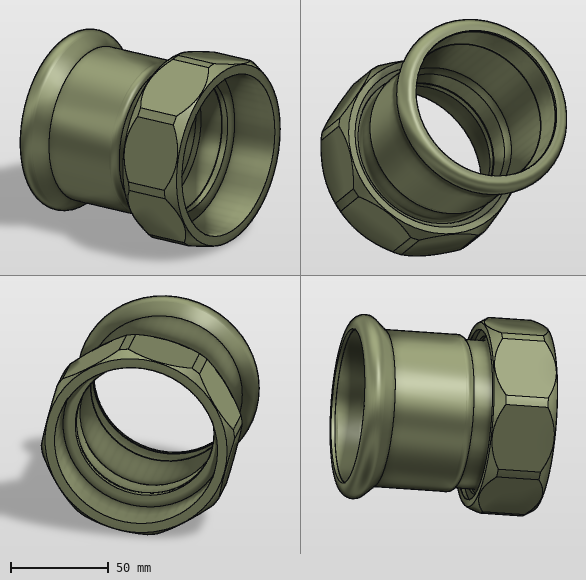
import cadquery as cq
import math

LENGTH = 99.3

WALL = 2.0
BEAD_RADIUS = 5.7
BEAD_CENTRE_R = 41.5
CONE_END = 15.8
SOCKET_R = 80.7 / 2
SOCKET_BORE_R = 76.8 / 2
SOCKET_END = 53.2
NECK_START = 57.6
NECK_R = 76.1 / 2
NECK_BORE_R = 73.0 / 2
TAIL_BORE_R = 72.0 / 2
LIP_R = 39.5
FLARE_START = 68.4
FLARE_RADIUS = 2.3
FLANGE_R = 84.7 / 2
FLANGE_END = 74.4
SEAL_SEAT_R = 78.2 / 2
SEAL_SEAT_END = 16.9

SEAL_FRONT_R = 39.8
SEAL_THROAT_R = 39.4
SEAL_THROAT_X = 3.6
SEAL_BACK_R = 38.1
SEAL_LAND_START = 14.8

NUT_LENGTH = 33.2
NUT_START = LENGTH - NUT_LENGTH
NUT_SIDES = 8
NUT_ACROSS_FLATS = 95.1
NUT_CORNER_R = 50.5
NUT_TILT = 8.5
NUT_FACE_R = 47.3
NUT_CHAMFER = 5.5
NUT_BORE_R = 90.4 / 2
MOUTH_R = 43.7
MOUTH_DEPTH = 1.0

RING_INNER_R = 81.2 / 2
RING_OUTER_R = NUT_BORE_R
RING_WIDTH = 1.5

CONE_REACH = math.hypot(CONE_END - BEAD_RADIUS, SOCKET_R - BEAD_CENTRE_R)
TANGENT_ANGLE = math.atan2(SOCKET_R - BEAD_CENTRE_R, CONE_END - BEAD_RADIUS) + math.acos(
    BEAD_RADIUS / CONE_REACH
)
CAVITY_RADIUS = BEAD_RADIUS - WALL
FLARE_END = FLARE_START + FLARE_RADIUS
RING_START = FLARE_END - RING_WIDTH
ARC_MIDDLE_ANGLE = (TANGENT_ANGLE + math.pi) / 2


def bead_point(radius, angle):
    """Point (x, r) on a circle about the bead centre."""
    return (BEAD_RADIUS + radius * math.cos(angle), BEAD_CENTRE_R + radius * math.sin(angle))


def cavity_cone_x(r):
    """Axial position where the cone inside the bead reaches radius r."""
    rise = (r - BEAD_CENTRE_R) * math.sin(TANGENT_ANGLE)
    return BEAD_RADIUS + (CAVITY_RADIUS - rise) / math.cos(TANGENT_ANGLE)


def turn(profile):
    """Revolve an (x, r) profile about the X axis."""
    return profile.close().revolve(360, (0, 0, 0), (1, 0, 0))


def make_tube():
    """Tube with a seal bead, a press socket, a narrower neck and a flared end flange."""
    step_middle = (
        SOCKET_END + (NECK_START - SOCKET_END) * math.sin(math.pi / 4),
        NECK_R + (SOCKET_R - NECK_R) * math.cos(math.pi / 4),
    )
    flare_middle = (
        FLARE_START + FLARE_RADIUS * math.sin(math.pi / 4),
        NECK_R + FLARE_RADIUS * (1 - math.cos(math.pi / 4)),
    )
    outside = (
        cq.Workplane("XY")
        .moveTo(0, LIP_R)
        .lineTo(0, BEAD_CENTRE_R)
        .threePointArc(bead_point(BEAD_RADIUS, ARC_MIDDLE_ANGLE), bead_point(BEAD_RADIUS, TANGENT_ANGLE))
        .lineTo(CONE_END, SOCKET_R)
        .lineTo(SOCKET_END, SOCKET_R)
        .threePointArc(step_middle, (NECK_START, NECK_R))
        .lineTo(FLARE_START, NECK_R)
        .threePointArc(flare_middle, (FLARE_END, NECK_R + FLARE_RADIUS))
        .lineTo(FLARE_END, FLANGE_R)
        .lineTo(FLANGE_END, FLANGE_R)
    )
    profile = (
        outside.lineTo(FLANGE_END, TAIL_BORE_R)
        .lineTo(FLARE_END, TAIL_BORE_R)
        .lineTo(FLARE_END, NECK_BORE_R)
        .lineTo(NECK_START, NECK_BORE_R)
        .lineTo(SOCKET_END, SOCKET_BORE_R)
        .lineTo(SEAL_SEAT_END, SOCKET_BORE_R)
        .lineTo(SEAL_SEAT_END, SEAL_SEAT_R)
        .lineTo(cavity_cone_x(SEAL_SEAT_R), SEAL_SEAT_R)
        .lineTo(*bead_point(CAVITY_RADIUS, TANGENT_ANGLE))
        .threePointArc(bead_point(CAVITY_RADIUS, ARC_MIDDLE_ANGLE), (WALL, BEAD_CENTRE_R))
        .lineTo(WALL, LIP_R)
    )
    return turn(profile)


def make_seal():
    """Seal that fills the bead cavity, with an inner face that narrows inward."""
    profile = (
        cq.Workplane("XY")
        .moveTo(WALL, SEAL_FRONT_R)
        .lineTo(WALL, BEAD_CENTRE_R)
        .threePointArc(
            bead_point(CAVITY_RADIUS, ARC_MIDDLE_ANGLE), bead_point(CAVITY_RADIUS, TANGENT_ANGLE)
        )
        .lineTo(cavity_cone_x(SEAL_SEAT_R), SEAL_SEAT_R)
        .lineTo(SEAL_SEAT_END, SEAL_SEAT_R)
        .lineTo(SEAL_SEAT_END, SEAL_BACK_R)
        .lineTo(SEAL_LAND_START, SEAL_BACK_R)
        .lineTo(SEAL_THROAT_X, SEAL_THROAT_R)
    )
    return turn(profile)


def make_retaining_ring():
    """Flat ring seated on the shoulder of the nut bore, around the tube flare."""
    return (
        cq.Workplane("YZ", origin=(RING_START, 0, 0))
        .circle(RING_OUTER_R)
        .circle(RING_INNER_R)
        .extrude(RING_WIDTH)
    )


def make_nut():
    """Octagonal nut with rounded corners, chamfered ends and a stepped bore."""
    across_corners = NUT_ACROSS_FLATS / math.cos(math.pi / NUT_SIDES)
    prism = (
        cq.Workplane("YZ", origin=(NUT_START, 0, 0))
        .polygon(NUT_SIDES, across_corners)
        .extrude(NUT_LENGTH)
        .rotate((0, 0, 0), (1, 0, 0), NUT_TILT)
    )
    envelope = turn(
        cq.Workplane("XY")
        .moveTo(NUT_START, 0)
        .lineTo(NUT_START, NUT_FACE_R)
        .lineTo(NUT_START + NUT_CHAMFER, NUT_CORNER_R)
        .lineTo(LENGTH - NUT_CHAMFER, NUT_CORNER_R)
        .lineTo(LENGTH, NUT_FACE_R)
        .lineTo(LENGTH, 0)
    )
    bore = turn(
        cq.Workplane("XY")
        .moveTo(NUT_START, 0)
        .lineTo(NUT_START, MOUTH_R)
        .lineTo(NUT_START + MOUTH_DEPTH, NUT_BORE_R)
        .lineTo(FLARE_END, NUT_BORE_R)
        .lineTo(FLARE_END, FLANGE_R)
        .lineTo(LENGTH, FLANGE_R)
        .lineTo(LENGTH, 0)
    )
    return prism.intersect(envelope).cut(bore)


tube = make_tube()
seal = make_seal()
retaining_ring = make_retaining_ring()
nut = make_nut()

result = cq.Compound.makeCompound([tube.val(), seal.val(), retaining_ring.val(), nut.val()])